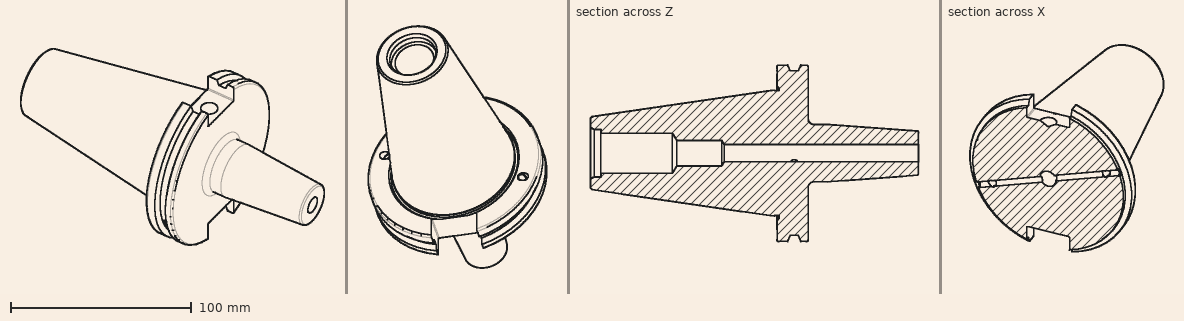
import cadquery as cq
import math

total_length = 181.6
flange_start = 103.1
flange_width = 17.5
flange_end = flange_start + flange_width
taper_end = 101.3
neck_start = 102.0
shank_cone_start = 131.0

taper_large_radius = 70.0 / 2
taper_slope = 7 / 48
taper_small_radius = taper_large_radius - taper_slope * taper_end
taper_end_chamfer = 0.9
neck_radius = 69.2 / 2
relief_outer_radius = 37.0
relief_floor_radius = 36.1
relief_depth = 1.0

flange_radius = 49.0
flange_edge_radius = 1.0
groove_depth = 3.3
groove_mouth_width = 7.0
groove_floor_width = 4.4
groove_center = 112.8
groove_floor_radius = flange_radius - groove_depth

slot_width = 25.8
upper_slot_floor = 37.6
lower_slot_floor = 35.2
slot_corner_radius = 0.5
dimple_diameter = 9.5

shank_radius = 32.0 / 2
shank_root_fillet = 3.0
shank_end_radius = 24.7 / 2
shank_end_fillet = 0.9

mouth_radius = 28.5 / 2
mouth_cone_half_angle = 30
counterbore_radius = 26.2 / 2
counterbore_depth = 5.8
main_bore_radius = 22.0 / 2
main_bore_depth = 45.4
middle_bore_radius = 14.0 / 2
middle_bore_depth = 72.6
through_bore_radius = 9.5 / 2
drill_half_angle = 59

coolant_angle = 20
face_hole_diameter = 4.2
face_counterbore_diameter = 5.0
face_counterbore_depth = 1.8
face_hole_radius = 41.8
face_hole_tilt = 32
radial_hole_diameter = 3.3
radial_counterbore_diameter = 4.2
radial_counterbore_depth = 0.9


def cone_length(large_radius, small_radius, half_angle=drill_half_angle):
    """Length of a cone between two radii; a drill point unless another half angle is given."""
    return (large_radius - small_radius) / math.tan(math.radians(half_angle))


def revolve_about_x(outline):
    return outline.close().revolve(360, (0, 0, 0), (1, 0, 0))


def make_body():
    diagonal_inset = 1 - math.sqrt(0.5)
    mouth_half = groove_mouth_width / 2
    floor_half = groove_floor_width / 2
    edge = flange_edge_radius
    edge_inset = edge * diagonal_inset
    end_inset = shank_end_fillet * diagonal_inset
    root = shank_root_fillet
    root_inset = root * diagonal_inset
    outline = (
        cq.Workplane("XY")
        .lineTo(0, taper_small_radius - taper_end_chamfer)
        .lineTo(taper_end_chamfer, taper_small_radius + taper_slope * taper_end_chamfer)
        .lineTo(taper_end, taper_large_radius)
        .lineTo(neck_start, taper_large_radius)
        .lineTo(neck_start, neck_radius)
        .lineTo(flange_start + relief_depth, neck_radius)
        .lineTo(flange_start + relief_depth, relief_floor_radius)
        .lineTo(flange_start, relief_outer_radius)
        .lineTo(flange_start, flange_radius - edge)
        .threePointArc(
            (flange_start + edge_inset, flange_radius - edge_inset),
            (flange_start + edge, flange_radius),
        )
        .lineTo(groove_center - mouth_half, flange_radius)
        .lineTo(groove_center - floor_half, groove_floor_radius)
        .lineTo(groove_center + floor_half, groove_floor_radius)
        .lineTo(groove_center + mouth_half, flange_radius)
        .lineTo(flange_end - edge, flange_radius)
        .threePointArc(
            (flange_end - edge_inset, flange_radius - edge_inset),
            (flange_end, flange_radius - edge),
        )
        .lineTo(flange_end, shank_radius + root)
        .threePointArc(
            (flange_end + root_inset, shank_radius + root_inset),
            (flange_end + root, shank_radius),
        )
        .lineTo(shank_cone_start, shank_radius)
        .lineTo(total_length - shank_end_fillet, shank_end_radius)
        .threePointArc(
            (total_length - end_inset, shank_end_radius - end_inset),
            (total_length, shank_end_radius - shank_end_fillet),
        )
        .lineTo(total_length, 0)
    )
    return revolve_about_x(outline)


def make_bore():
    mouth_cone_length = cone_length(mouth_radius, counterbore_radius, mouth_cone_half_angle)
    main_cone_end = main_bore_depth + cone_length(main_bore_radius, middle_bore_radius)
    middle_cone_end = middle_bore_depth + cone_length(middle_bore_radius, through_bore_radius)
    outline = (
        cq.Workplane("XY")
        .lineTo(0, mouth_radius)
        .lineTo(mouth_cone_length, counterbore_radius)
        .lineTo(counterbore_depth, counterbore_radius)
        .lineTo(counterbore_depth, main_bore_radius)
        .lineTo(main_bore_depth, main_bore_radius)
        .lineTo(main_cone_end, middle_bore_radius)
        .lineTo(middle_bore_depth, middle_bore_radius)
        .lineTo(middle_cone_end, through_bore_radius)
        .lineTo(total_length, through_bore_radius)
        .lineTo(total_length, 0)
    )
    return revolve_about_x(outline)


def make_slot(floor, side):
    """Drive slot with rounded floor corners; side is +1 for the top, -1 for the bottom."""
    height = flange_radius - floor
    return (
        cq.Workplane("XY")
        .box(flange_width, slot_width, height)
        .edges("|X and " + ("<Z" if side > 0 else ">Z"))
        .fillet(slot_corner_radius)
        .translate((flange_start + flange_width / 2, 0, side * (floor + height / 2)))
    )


def make_dimple():
    radius = dimple_diameter / 2
    tip = upper_slot_floor - cone_length(radius, 0)
    return (
        cq.Workplane("XZ")
        .moveTo(0, tip)
        .lineTo(radius, upper_slot_floor)
        .lineTo(0, upper_slot_floor)
        .close()
        .revolve(360, (0, 0, 0), (0, 1, 0))
        .translate((groove_center, 0, 0))
    )


def make_stepped_hole(entry, direction, hole_diameter, hole_depth, counterbore_diameter, counterbore_depth):
    """Counterbored hole running from its entry point; it starts early to clear the entry surface."""
    start = entry - direction * counterbore_diameter
    hole = cq.Solid.makeCylinder(hole_diameter / 2, counterbore_diameter + hole_depth, start, direction)
    counterbore = cq.Solid.makeCylinder(
        counterbore_diameter / 2, counterbore_diameter + counterbore_depth, start, direction
    )
    return cq.Workplane(hole).union(cq.Workplane(counterbore))


def make_coolant_holes(turn):
    """One inclined face hole and the radial hole it runs into, turned about the X axis."""
    tilt = math.radians(face_hole_tilt)
    face_hole = make_stepped_hole(
        cq.Vector(flange_start, face_hole_radius, 0),
        cq.Vector(math.cos(tilt), -math.sin(tilt), 0),
        face_hole_diameter,
        (groove_center - flange_start) / math.cos(tilt),
        face_counterbore_diameter,
        face_counterbore_depth,
    )
    radial_hole = make_stepped_hole(
        cq.Vector(groove_center, groove_floor_radius, 0),
        cq.Vector(0, -1, 0),
        radial_hole_diameter,
        groove_floor_radius,
        radial_counterbore_diameter,
        radial_counterbore_depth,
    )
    return face_hole.union(radial_hole).rotate((0, 0, 0), (1, 0, 0), turn)


result = make_body().cut(make_bore())
result = result.cut(make_slot(upper_slot_floor, 1)).cut(make_slot(lower_slot_floor, -1))
result = result.cut(make_dimple())
for half_turn in (0, 180):
    result = result.cut(make_coolant_holes(coolant_angle + half_turn))